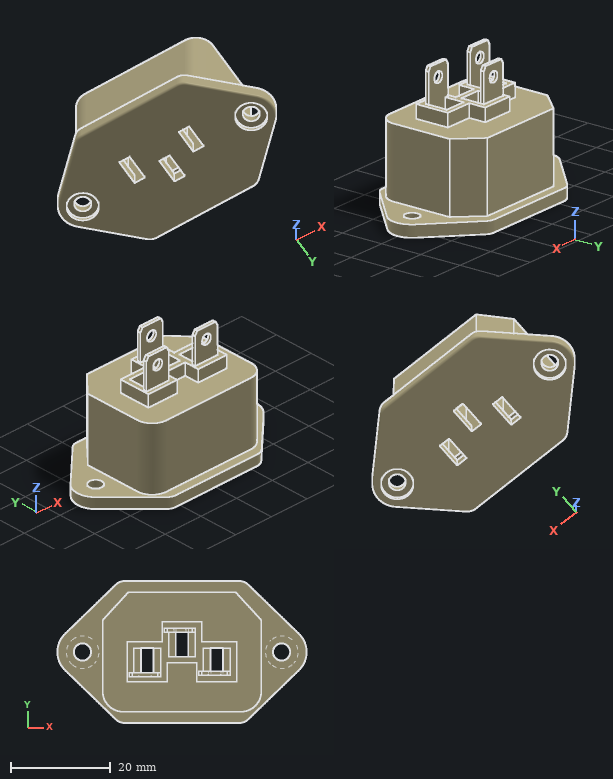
import cadquery as cq
import math

length = 50.1
flange_width = 28.6
flange_thickness = 3.0
ear_radius = 5.05
ear_hole_diameter = 3.4
counterbore_diameter = 6.5
counterbore_depth = 1.0
ear_x = length / 2 - ear_radius
shoulder_x = 11.35
shoulder_radius = 2.8
flange_edge_radius = 0.45

block_length = 31.85
block_width = 24.0
block_height = 16.75
block_chamfer_x = 5.15
block_chamfer_y = 5.6
block_corner_radius = 4.1
block_top = flange_thickness + block_height

contact_pitch = 6.95
cell_size = 8.0
cell_wall = 1.25
collar_height = 3.15
collar_top = block_top + collar_height
side_cell_front = -5.95
middle_cell_front = -2.2
middle_cell_back = 6.1

pocket_width = 5.4
pocket_floor = flange_thickness
slot_width = 2.45

blade_width = 6.3
blade_thickness = 0.8
blade_exposed_height = 8.0
blade_top = collar_top + blade_exposed_height
blade_hole_diameter = 2.5
blade_hole_drop = 3.05
tip_chamfer_x = 0.6
tip_chamfer_z = 1.0
blade_offset_x = -0.45

side_pocket_wall = side_cell_front + cell_size - cell_wall
middle_pocket_wall = middle_cell_front + cell_wall
contacts = [
    (-contact_pitch, -4.55, side_pocket_wall),
    (0.0, 4.35, middle_pocket_wall),
    (contact_pitch, -4.25, side_pocket_wall),
]


def box(x_min, x_max, y_min, y_max, z_min, z_max):
    """Rectangular block given by its limits on each axis."""
    return cq.Workplane("XY").box(
        x_max - x_min, y_max - y_min, z_max - z_min, centered=False
    ).translate((x_min, y_min, z_min))


def make_ear_hole(x):
    """Cutter for a screw hole through the flange, counterbored from the underside."""
    hole = cq.Workplane("XY").circle(ear_hole_diameter / 2).extrude(flange_thickness)
    counterbore = cq.Workplane("XY").circle(counterbore_diameter / 2).extrude(counterbore_depth)
    return hole.union(counterbore).translate((x, 0, 0))


def make_flange():
    half_width = flange_width / 2
    diagonal = math.sqrt(0.5)
    ear_tangent_x = ear_x + ear_radius * diagonal
    ear_tangent_y = ear_radius * diagonal
    shoulder_end_x = shoulder_x + shoulder_radius * diagonal
    shoulder_end_y = half_width - shoulder_radius * (1 - diagonal)
    shoulder_mid_x = shoulder_x + shoulder_radius * math.sin(math.pi / 8)
    shoulder_mid_y = half_width - shoulder_radius * (1 - math.cos(math.pi / 8))
    plate = (
        cq.Workplane("XY")
        .moveTo(-shoulder_x, half_width)
        .lineTo(shoulder_x, half_width)
        .threePointArc((shoulder_mid_x, shoulder_mid_y), (shoulder_end_x, shoulder_end_y))
        .lineTo(ear_tangent_x, ear_tangent_y)
        .threePointArc((length / 2, 0), (ear_tangent_x, -ear_tangent_y))
        .lineTo(shoulder_end_x, -shoulder_end_y)
        .threePointArc((shoulder_mid_x, -shoulder_mid_y), (shoulder_x, -half_width))
        .lineTo(-shoulder_x, -half_width)
        .threePointArc((-shoulder_mid_x, -shoulder_mid_y), (-shoulder_end_x, -shoulder_end_y))
        .lineTo(-ear_tangent_x, -ear_tangent_y)
        .threePointArc((-length / 2, 0), (-ear_tangent_x, ear_tangent_y))
        .lineTo(-shoulder_end_x, shoulder_end_y)
        .threePointArc((-shoulder_mid_x, shoulder_mid_y), (-shoulder_x, half_width))
        .close()
        .extrude(flange_thickness)
        .faces("<Z").edges().fillet(flange_edge_radius)
    )
    for x in (-ear_x, ear_x):
        plate = plate.cut(make_ear_hole(x))
    return plate


def make_block():
    half_length = block_length / 2
    half_width = block_width / 2
    return (
        cq.Workplane("XY")
        .workplane(offset=flange_thickness)
        .moveTo(-half_length, -half_width)
        .lineTo(half_length, -half_width)
        .lineTo(half_length, half_width - block_chamfer_y)
        .lineTo(half_length - block_chamfer_x, half_width)
        .lineTo(-half_length + block_chamfer_x, half_width)
        .lineTo(-half_length, half_width - block_chamfer_y)
        .close()
        .extrude(block_height)
        .edges("|Z and <Y").fillet(block_corner_radius)
    )


def make_collar():
    half_cell = cell_size / 2
    collar = box(-half_cell, half_cell, middle_cell_front, middle_cell_back, block_top, collar_top)
    for x in (-contact_pitch, contact_pitch):
        side_cell = box(
            x - half_cell, x + half_cell,
            side_cell_front, side_cell_front + cell_size,
            block_top, collar_top,
        )
        collar = collar.union(side_cell)
    return collar


def make_pocket(x, blade_y, facing_wall):
    """Contact pocket with its through slot, reaching from the facing wall to the blade's outer face."""
    outer_face = blade_y + math.copysign(blade_thickness / 2, blade_y)
    y_min = min(outer_face, facing_wall)
    y_max = max(outer_face, facing_wall)
    pocket = box(x - pocket_width / 2, x + pocket_width / 2, y_min, y_max, pocket_floor, collar_top)
    slot = box(x - slot_width / 2, x + slot_width / 2, y_min, y_max, 0, pocket_floor)
    return pocket.union(slot)


def make_blade(x, blade_y):
    """Flat blade standing on the pocket floor, with a tapered tip and a wire hole."""
    half_width = blade_width / 2
    centre_x = x + blade_offset_x
    back_plane = cq.Workplane("XZ", origin=(centre_x, blade_y + blade_thickness / 2, 0))
    hole = (
        back_plane.center(0, blade_top - blade_hole_drop)
        .circle(blade_hole_diameter / 2)
        .extrude(blade_thickness)
    )
    blade = (
        back_plane
        .moveTo(-half_width, pocket_floor)
        .lineTo(half_width, pocket_floor)
        .lineTo(half_width, blade_top - tip_chamfer_z)
        .lineTo(half_width - tip_chamfer_x, blade_top)
        .lineTo(-half_width + tip_chamfer_x, blade_top)
        .lineTo(-half_width, blade_top - tip_chamfer_z)
        .close()
        .extrude(blade_thickness)
    )
    return blade.cut(hole)


blades = []
for contact_x, contact_y, _ in contacts:
    blades.append(make_blade(contact_x, contact_y))

housing = make_flange().union(make_block()).union(make_collar())
for (contact_x, contact_y, contact_wall), blade in zip(contacts, blades):
    housing = housing.cut(make_pocket(contact_x, contact_y, contact_wall))
    housing = housing.cut(blade)

result = cq.Compound.makeCompound([housing.val(), *[blade.val() for blade in blades]])